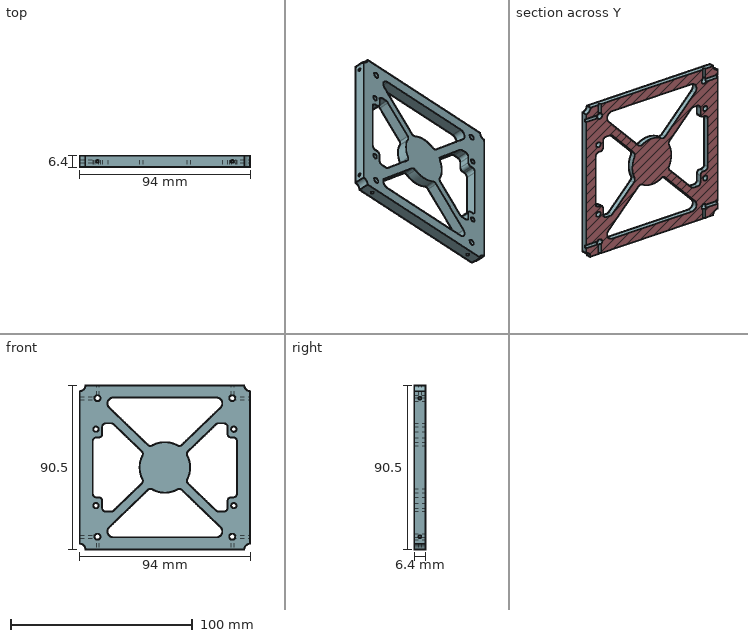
import cadquery as cq
import math

width = 94.0
height = 90.5
thickness = 6.4
corner_notch_radius = 3.2

hub_radius = 14.0
strut_width = 5.0

end_window_reach = 38.4
end_window_corner_radius = 3.2
side_window_reach = 39.7
side_window_half_height = 24.25
pad_face = 34.5
pad_bottom = 16.45
window_fillet = 2.0

corner_hole_x = 37.1
corner_hole_z = 38.2
corner_hole_diameter = 3.2
pad_hole_x = 38.0
pad_hole_z = 21.1
pad_hole_diameter = 2.8
screw_hole_diameter = 1.6

diagonal = math.hypot(width, height)
axis_x = width / diagonal
axis_z = height / diagonal
half_strut = strut_width / 2
hub_joint = math.sqrt(hub_radius**2 - half_strut**2)


def front_plane():
    """Sketch plane on the +Y face, local X along X and local Y along Z; extrudes run toward -Y."""
    return cq.Workplane("XZ", origin=(0, thickness / 2, 0))


def four_corners(x, z):
    return [(x, z), (-x, z), (-x, -z), (x, -z)]


def through_holes(x, z, diameter):
    centres = four_corners(x, z)
    return front_plane().pushPoints(centres).circle(diameter / 2).extrude(thickness)


def end_window():
    """Window above the hub, bounded by the upper edges of two struts."""
    joint_x = hub_joint * axis_x - half_strut * axis_z
    joint_z = hub_joint * axis_z + half_strut * axis_x
    outer_x = (end_window_reach * axis_x - half_strut) / axis_z
    window = (
        front_plane()
        .moveTo(-joint_x, joint_z)
        .threePointArc((0, hub_radius), (joint_x, joint_z))
        .lineTo(outer_x, end_window_reach)
        .lineTo(-outer_x, end_window_reach)
        .close()
        .extrude(thickness)
    )
    window = window.faces(">Z").edges("|Y").fillet(end_window_corner_radius)
    return window.edges("|Y").edges("<Z").fillet(window_fillet)


def side_window():
    """Window on the +X side of the hub, stepped around the two hole pads."""
    joint_x = hub_joint * axis_x + half_strut * axis_z
    joint_z = hub_joint * axis_z - half_strut * axis_x
    strut_end_x = (side_window_half_height * axis_x + half_strut) / axis_z
    return (
        front_plane()
        .moveTo(joint_x, -joint_z)
        .threePointArc((hub_radius, 0), (joint_x, joint_z))
        .lineTo(strut_end_x, side_window_half_height)
        .lineTo(pad_face, side_window_half_height)
        .lineTo(pad_face, pad_bottom)
        .lineTo(side_window_reach, pad_bottom)
        .lineTo(side_window_reach, -pad_bottom)
        .lineTo(pad_face, -pad_bottom)
        .lineTo(pad_face, -side_window_half_height)
        .lineTo(strut_end_x, -side_window_half_height)
        .close()
        .extrude(thickness)
        .edges("|Y")
        .fillet(window_fillet)
    )


def screw_hole(edge_point, target_point):
    """Small hole at mid thickness from a plate edge to the axis of a corner hole."""
    start = cq.Vector(*edge_point)
    path = cq.Vector(*target_point) - start
    return cq.Workplane(cq.Solid.makeCylinder(screw_hole_diameter / 2, path.Length, start, path))


result = cq.Workplane("XY").box(width, thickness, height)
result = result.cut(through_holes(width / 2, height / 2, 2 * corner_notch_radius))
result = result.cut(through_holes(corner_hole_x, corner_hole_z, corner_hole_diameter))
result = result.cut(through_holes(pad_hole_x, pad_hole_z, pad_hole_diameter))

result = result.cut(end_window()).cut(end_window().mirror("XY"))
result = result.cut(side_window()).cut(side_window().mirror("YZ"))

for hole_x, hole_z in four_corners(corner_hole_x, corner_hole_z):
    hole_axis = (hole_x, 0, hole_z)
    side_edge = (math.copysign(width / 2, hole_x), 0, hole_z)
    end_edge = (hole_x, 0, math.copysign(height / 2, hole_z))
    result = result.cut(screw_hole(side_edge, hole_axis))
    result = result.cut(screw_hole(end_edge, hole_axis))